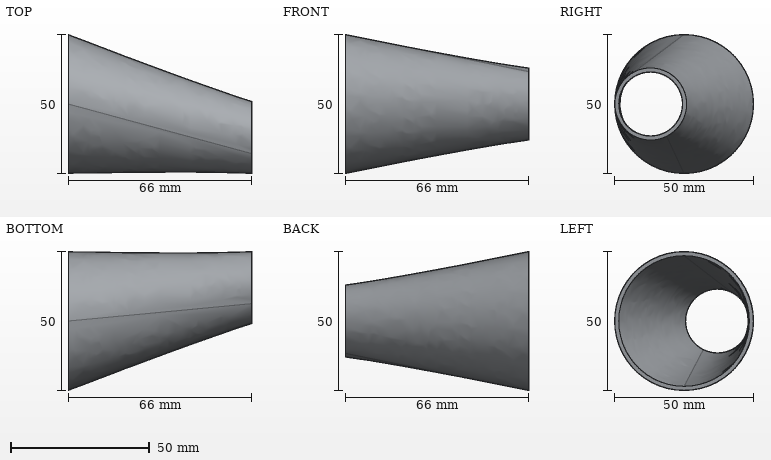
import cadquery as cq
import math

length = 66.0
large_diameter = 50.0
small_diameter = 25.95
wall = 1.5
twist = 26.5

large_radius = large_diameter / 2
small_radius = small_diameter / 2
small_center_y = small_radius - large_radius


def half_circle(x, center_y, radius, start_angle):
    """Half circle in a plane of constant X; angles run from +Z toward -Y."""
    points = []
    for angle in (start_angle, start_angle + 90, start_angle + 180):
        turn = math.radians(angle)
        points.append(cq.Vector(x, center_y - radius * math.sin(turn), radius * math.cos(turn)))
    return cq.Edge.makeThreePointArc(*points)


def twisted_cone(inset):
    """Solid between the two end circles, each reduced in radius by the inset."""
    large_arcs = [half_circle(0, 0, large_radius - inset, start) for start in (0, 180)]
    small_arcs = [
        half_circle(length, small_center_y, small_radius - inset, start + twist) for start in (0, 180)
    ]
    sides = [cq.Face.makeRuledSurface(large, small) for large, small in zip(large_arcs, small_arcs)]
    ends = [cq.Face.makeFromWires(cq.Wire.assembleEdges(arcs)) for arcs in (large_arcs, small_arcs)]
    return cq.Workplane(cq.Solid.makeSolid(cq.Shell.makeShell(sides + ends)))


result = twisted_cone(0).cut(twisted_cone(wall))